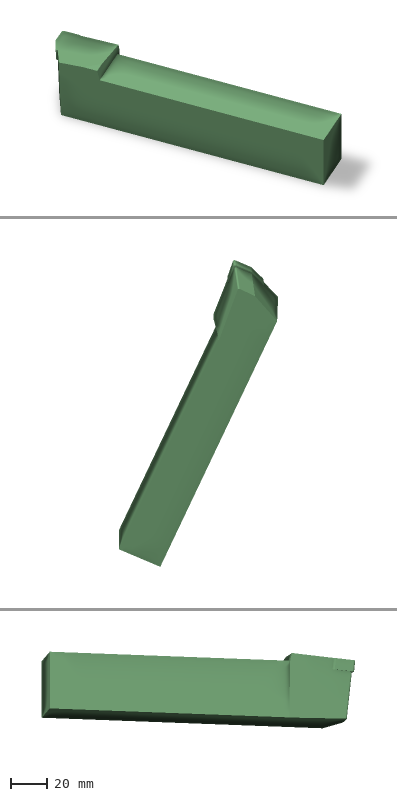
import cadquery as cq
import math


total_length = 170.0
shank_width = 25.0
shank_height = 32.0

head_height = 38.1
step_top_x = 34.3
step_foot_x = 35.9
nose_radius = 0.9
rise_along_x = 0.09
fall_along_y = 0.115
flat_start_x = 26.0

front_corner = (11.4, 0.0)
end_bend = (1.4, 20.9)
nose_corner = (1.0, 31.1)
back_corner = (35.0, 28.5)

insert_center = (8.3, 23.1)
insert_corner_reach = 12.4
insert_side_reach = 8.2
insert_corner_radius = 1.0
insert_thickness = 6.3
insert_turn = 13.3
insert_corners = 3
pin_diameter = 6.3


def rake_point(x, y):
    """Point of the rake plane above (x, y)."""
    z = head_height + rise_along_x * (x - flat_start_x) - fall_along_y * y
    return cq.Vector(x, y, z)


rake_plane = cq.Plane(
    origin=rake_point(*insert_center),
    xDir=(1, 0, rise_along_x),
    normal=(-rise_along_x, fall_along_y, 1),
)


def make_head():
    """Prism square to the rake plane, trimmed to the base, front side, flat top and step."""
    outline_end_x = 2 * step_foot_x
    back_slope = (back_corner[1] - nose_corner[1]) / (back_corner[0] - nose_corner[0])
    outline_end_y = back_corner[1] + back_slope * (outline_end_x - back_corner[0])
    outline = [
        front_corner,
        end_bend,
        nose_corner,
        (outline_end_x, outline_end_y),
        (outline_end_x, 0.0),
    ]
    local_outline = [rake_plane.toLocalCoords(rake_point(x, y)) for x, y in outline]
    prism_depth = 2 * head_height
    prism = (
        cq.Workplane(rake_plane)
        .polyline([(p.x, p.y) for p in local_outline])
        .close()
        .extrude(-prism_depth)
    )
    nose_edge = cq.selectors.NearestToPointSelector(
        (rake_point(*nose_corner) - rake_plane.zDir * (prism_depth / 2)).toTuple()
    )
    prism = prism.edges(nose_edge).fillet(nose_radius)

    envelope = (
        cq.Workplane("XZ")
        .polyline([
            (0, 0),
            (step_foot_x, 0),
            (step_foot_x, shank_height),
            (step_top_x, head_height),
            (0, head_height),
        ])
        .close()
        .extrude(-2 * shank_width)
    )
    return prism.intersect(envelope)


def make_shank():
    return (
        cq.Workplane("XY")
        .box(total_length - step_foot_x, shank_width, shank_height, centered=False)
        .translate((step_foot_x, 0, 0))
    )


def make_insert_blank():
    """Trigon plate below the rake plane, without its hole."""
    half_pitch = 180.0 / insert_corners
    outline = []
    for i in range(2 * insert_corners):
        reach = insert_side_reach if i % 2 else insert_corner_reach
        angle = math.radians(insert_turn + i * half_pitch)
        outline.append((reach * math.cos(angle), reach * math.sin(angle)))
    blank = cq.Workplane(rake_plane).polyline(outline).close().extrude(-insert_thickness)
    for x, y in outline[::2]:
        corner_edge = rake_plane.toWorldCoords((x, y, -insert_thickness / 2))
        selector = cq.selectors.NearestToPointSelector(corner_edge.toTuple())
        blank = blank.edges(selector).fillet(insert_corner_radius)
    return blank


insert_blank = make_insert_blank()
pin = cq.Workplane(rake_plane).circle(pin_diameter / 2).extrude(-insert_thickness)

insert = insert_blank.cut(pin)

holder = make_head().union(make_shank()).cut(insert)

result = cq.Compound.makeCompound([holder.solids().val(), insert.solids().val()])